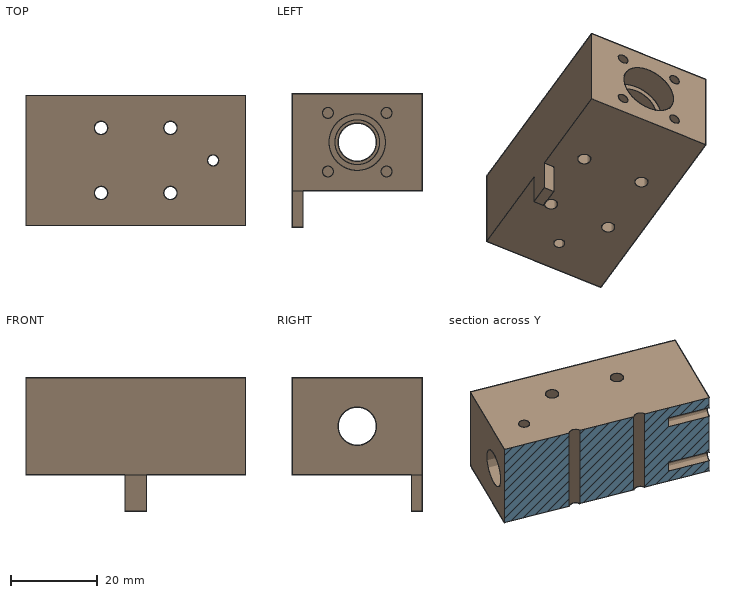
import cadquery as cq

block_length = 50.65
block_width = 30.0
overall_height = 30.8
tab_drop = 8.4
block_height = overall_height - tab_drop

tab_length = 5.0
tab_thickness = 2.5

entry_diameter = 13.0
entry_depth = 6.0
middle_diameter = 10.3
middle_end_depth = block_length / 2
through_diameter = 8.75

face_hole_diameter = 2.5
face_hole_spacing = 13.5
face_hole_depth = 10.0

mount_hole_diameter = 3.0
mount_spacing_x = 16.0
mount_spacing_y = 15.0
cross_hole_diameter = 2.5
cross_hole_from_end = 7.5

entry_face_x = -block_length / 2


def make_block():
    return cq.Workplane("XY").box(block_length, block_width, block_height)


def make_tab():
    tab_y = (block_width - tab_thickness) / 2
    tab = cq.Workplane("XY").rect(tab_length, tab_thickness).extrude(-tab_drop)
    return tab.translate((0, tab_y, -block_height / 2))


def bore_cutter(diameter, depth):
    """Cylinder on the bore axis, from the -X face to the given depth."""
    face = cq.Workplane("YZ", origin=(entry_face_x, 0, 0))
    return face.circle(diameter / 2).extrude(depth)


def face_hole_cutters():
    """Square pattern of blind holes around the bore entry."""
    face = cq.Workplane("YZ", origin=(entry_face_x, 0, 0))
    centres = face.rect(face_hole_spacing, face_hole_spacing, forConstruction=True).vertices()
    return centres.circle(face_hole_diameter / 2).extrude(face_hole_depth)


def mount_hole_cutters():
    """Four vertical holes, centred on the block."""
    base = cq.Workplane("XY", origin=(0, 0, -block_height / 2))
    centres = base.rect(mount_spacing_x, mount_spacing_y, forConstruction=True).vertices()
    return centres.circle(mount_hole_diameter / 2).extrude(block_height)


def cross_hole_cutter():
    """Vertical hole crossing the bore near the +X end."""
    cross_hole_x = block_length / 2 - cross_hole_from_end
    base = cq.Workplane("XY", origin=(cross_hole_x, 0, -block_height / 2))
    return base.circle(cross_hole_diameter / 2).extrude(block_height)


bore_steps = [
    (entry_diameter, entry_depth),
    (middle_diameter, middle_end_depth),
    (through_diameter, block_length),
]

result = make_block().union(make_tab())
for step_diameter, step_depth in bore_steps:
    result = result.cut(bore_cutter(step_diameter, step_depth))
result = result.cut(face_hole_cutters())
result = result.cut(mount_hole_cutters())
result = result.cut(cross_hole_cutter())